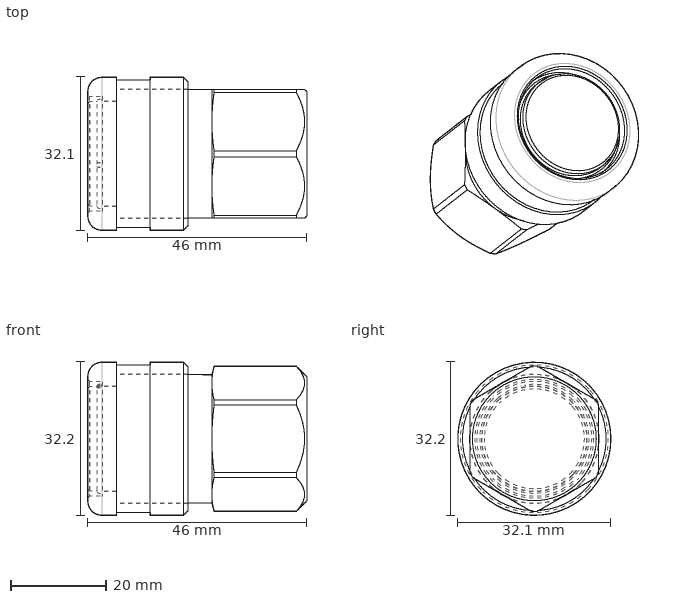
import cadquery as cq
import math

total_length = 46.0

sleeve_diameter = 32.15
sleeve_length = 21.05
sleeve_nose_radius = 3.0
sleeve_rear_chamfer = 1.0
band_diameter = 31.0
band_start = 6.05
band_end = 13.1

mouth_diameter = 24.1
mouth_chamfer = 0.4
lip_bore_diameter = 22.15
rear_bore_diameter = 27.15

nose_diameter = 22.0
nose_chamfer = 0.5
shoulder_x = 6.05
neck_diameter = 27.0
hex_start = 26.05
hex_across_flats = neck_diameter
hex_corner_diameter = 30.5
hex_end_diameter = 26.0
hex_front_chamfer_angle = 15.0

ring_wire_diameter = 1.2
ring_outer_diameter = 22.9
ring_centre_x = 2.5
ring_gap = 0.9
ring_gap_angle = 12.0

mouth_depth = ring_centre_x + ring_wire_diameter / 2


def cylinder(diameter, start, end):
    """Solid cylinder on the X axis between two X positions."""
    return cq.Workplane("YZ", origin=(start, 0, 0)).circle(diameter / 2).extrude(end - start)


def make_sleeve():
    """Outer sleeve with a rounded front, a recessed label band and a stepped bore."""
    body = cylinder(sleeve_diameter, 0, sleeve_length)
    body = body.faces("<X").edges().fillet(sleeve_nose_radius)
    body = body.faces(">X").edges().chamfer(sleeve_rear_chamfer)

    band = cylinder(sleeve_diameter, band_start, band_end).cut(
        cylinder(band_diameter, band_start, band_end)
    )
    body = body.cut(band)

    body = body.cut(cylinder(lip_bore_diameter, 0, sleeve_length))
    body = body.cut(cylinder(rear_bore_diameter, shoulder_x, sleeve_length))
    body = body.cut(cylinder(mouth_diameter, 0, mouth_depth))
    smallest_edge = cq.selectors.RadiusNthSelector(0)
    return body.faces("<X").edges(smallest_edge).chamfer(mouth_chamfer)


def make_hexagon():
    """Hexagon with two flats facing along Y, turned down at its corners and at both ends."""
    corner_radius = hex_corner_diameter / 2
    flat_radius = hex_across_flats / 2
    end_radius = hex_end_diameter / 2
    front_chamfer = (corner_radius - flat_radius) * math.tan(math.radians(hex_front_chamfer_angle))
    end_chamfer = corner_radius - end_radius

    prism = (
        cq.Workplane("YZ", origin=(hex_start, 0, 0))
        .polygon(6, hex_across_flats, circumscribed=True)
        .extrude(total_length - hex_start)
    )
    turned_blank = (
        cq.Workplane("XY")
        .moveTo(hex_start, 0)
        .lineTo(hex_start, flat_radius)
        .lineTo(hex_start + front_chamfer, corner_radius)
        .lineTo(total_length - end_chamfer, corner_radius)
        .lineTo(total_length, end_radius)
        .lineTo(total_length, 0)
        .close()
        .revolve(360, (0, 0, 0), (1, 0, 0))
    )
    return prism.intersect(turned_blank)


def make_split_ring():
    """Round-wire ring around the X axis with one narrow gap near the top."""
    wire_radius = ring_wire_diameter / 2
    centre_radius = ring_outer_diameter / 2 - wire_radius
    ring = (
        cq.Workplane("XY")
        .center(ring_centre_x, centre_radius)
        .circle(wire_radius)
        .revolve(360, (-0.45, -centre_radius, 0), (0.45, -centre_radius, 0))
    )
    gap_block_size = 2 * ring_wire_diameter
    gap = (
        cq.Workplane("XY")
        .box(gap_block_size, ring_gap, gap_block_size)
        .translate((ring_centre_x, 0, centre_radius))
        .rotate((0, 0, 0), (1, 0, 0), ring_gap_angle)
    )
    return ring.cut(gap)


def make_core():
    """Closed nose with its split ring, neck and hexagon."""
    nose = cylinder(nose_diameter, 0, shoulder_x).faces("<X").chamfer(nose_chamfer)
    neck = cylinder(neck_diameter, shoulder_x, hex_start)
    return nose.union(make_split_ring()).union(neck).union(make_hexagon())


sleeve = make_sleeve()
core = make_core()

result = cq.Compound.makeCompound([sleeve.solids().val(), core.solids().val()])